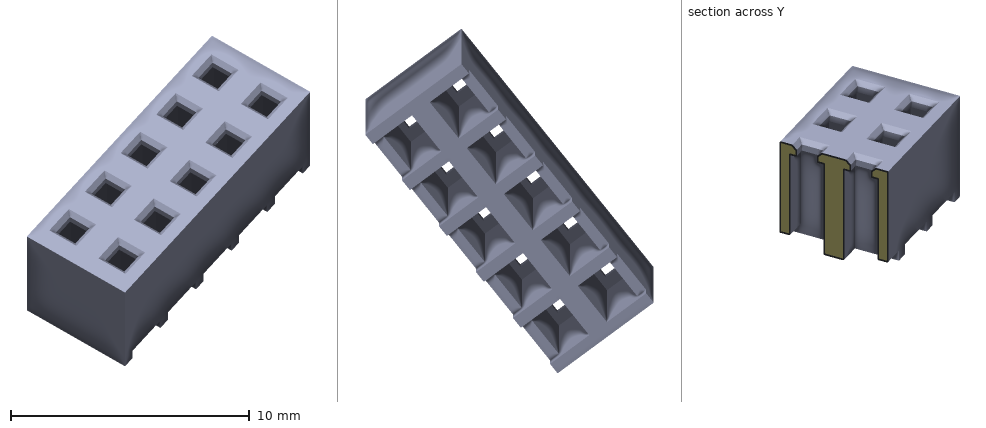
import cadquery as cq


pitch = 2.54
row_count = 2
contacts_per_row = 5

body_width = row_count * pitch
body_length = 13.2
body_height = 5.0

pin_hole_size = 1.0
lead_in_depth = 0.2
entry_size = pin_hole_size + 2 * lead_in_depth
roof_thickness = 0.5

cavity_width = 1.6
cavity_length = 2.0
cavity_height = body_height - roof_thickness

slot_height = 0.5


def contact_positions():
    """Return the (x, y) centre of every contact, with the grid centred on the origin."""
    row_offsets = [(i - (row_count - 1) / 2) * pitch for i in range(row_count)]
    contact_offsets = [(i - (contacts_per_row - 1) / 2) * pitch for i in range(contacts_per_row)]
    return [(x, y) for x in row_offsets for y in contact_offsets]


def make_box(width, length, height):
    """Return a box centred in X and Y that stands on Z = 0."""
    return cq.Workplane("XY").box(width, length, height, centered=(True, True, False))


def make_lead_in():
    """Return the tapered mouth of one pin entry, widening up to the top face."""
    return (
        cq.Workplane("XY")
        .workplane(offset=body_height - lead_in_depth)
        .rect(pin_hole_size, pin_hole_size)
        .workplane(offset=lead_in_depth)
        .rect(entry_size, entry_size)
        .loft(ruled=True)
    )


def make_contact_space():
    """Return the full empty space of one contact: cavity, pin hole and lead-in."""
    cavity = make_box(cavity_width, cavity_length, cavity_height)
    pin_hole = make_box(pin_hole_size, pin_hole_size, body_height)
    return cavity.union(pin_hole).union(make_lead_in())


def make_tail_slot(side):
    """Return the slot from one contact centre out to the side face (side is -1 or +1 in X)."""
    slot_reach = pitch / 2
    slot = make_box(slot_reach, cavity_length, slot_height)
    return slot.translate((side * slot_reach / 2, 0, 0))


housing = make_box(body_width, body_length, body_height)
contact_space = make_contact_space()
for x, y in contact_positions():
    outward = 1 if x > 0 else -1
    contact_cut = contact_space.union(make_tail_slot(outward))
    housing = housing.cut(contact_cut.translate((x, y, 0)))

result = housing